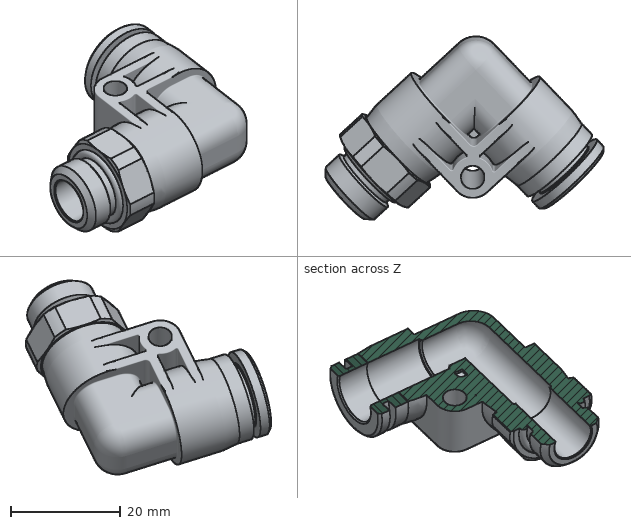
import cadquery as cq
import math


overall_x = 35.29
overall_y = 41.3

arm_radius = 8.6
arm_start = 8.12
arm_taper_start = 16.7
arm_end = 19.68
arm_end_radius = 8.2

core_half = 6.46
core_round = 4.57
joint_fillet = 0.2

hole_center = 12.0
hole_radius = 2.15
boss_radius = 3.87
plate_reach = hole_center + boss_radius
pocket_half = 2.0
pocket_corner_round = 0.3
plate_inner_round = 0.9
plate_edge_round = 0.17
rib_overrun = 2.0
web_thickness = 1.85

tube_bore_radius = 5.07
tube_stop = arm_start
stop_radius = 4.75
flow_radius = 4.43
stud_bore_radius = 4.05
stud_bore_chamfer = 0.2

hex_flats = 17.0
hex_turn = 30
hex_corner_radius = 9.16
hex_length = 6.1
hex_start = arm_end
hex_end = hex_start + hex_length
hex_chamfer_radius = hex_flats / 2
hex_chamfer_length = 0.25

ring_radius = 7.3
ring_height = 0.85
ring_end = hex_end + ring_height
neck_radius = 5.75
relief_start = 27.75
relief_end = 28.15
thread_radius = 6.55
thread_chamfer = 1.15
stud_end = overall_y - arm_radius

cartridge_end = overall_x - hex_corner_radius
cartridge_radius = arm_end_radius
collar_back = 23.8
collar_chamfer = 0.55
groove_radius = 6.03
groove_chamfer_rise = 0.12
groove_chamfer_length = 0.22
groove_end = 22.5
mouth_chamfer = 0.3


def turn_to_tube_side(shape):
    """Turn a shape from the -Y arm to the -X arm."""
    return shape.rotate((0, 0, 0), (0, 0, 1), -90)


def swap_x_and_y(shape):
    """Reflect a shape in the plane x = y."""
    return shape.mirror("XZ").rotate((0, 0, 0), (0, 0, 1), 90)


def revolve(profile):
    """Close a (radius, y) profile and revolve it about the Y axis."""
    return profile.close().revolve(360, (0, 0, 0), (0, 1, 0))


def make_arm():
    """Thick cylinder along -Y that narrows to its outer end in a smooth S-curve."""
    return revolve(
        cq.Workplane("XY")
        .moveTo(0, -arm_start)
        .lineTo(arm_radius, -arm_start)
        .lineTo(arm_radius, -arm_taper_start)
        .spline([(arm_end_radius, -arm_end)], tangents=[(0, -1), (0, -1)], includeCurrent=True)
        .lineTo(0, -arm_end)
    )


def make_stud_leg():
    """Square bar with rounded long edges and outer end, filleted where it runs into its thick arm."""
    width = 2 * core_half
    length = core_half + arm_taper_start
    bar = cq.Workplane("XY").box(width, length, width).translate((0, core_half - length / 2, 0))
    leg = bar.edges("|Y or >Y").fillet(core_round).union(make_arm())
    joint = cq.selectors.BoxSelector(
        (-core_half - joint_fillet, -arm_start - joint_fillet, -core_half - joint_fillet),
        (core_half + joint_fillet, -arm_start + joint_fillet, core_half + joint_fillet),
        boundingbox=True,
    )
    return leg.edges(joint).fillet(joint_fillet)


def plate_outline(reach):
    """L-shaped outline along both arms; its far corner is round about the mounting hole."""
    diagonal = hole_center + boss_radius * math.sqrt(0.5)
    return (
        cq.Workplane("XY")
        .moveTo(-plate_reach, reach)
        .lineTo(-plate_reach, -hole_center)
        .threePointArc((-diagonal, -diagonal), (-hole_center, -plate_reach))
        .lineTo(reach, -plate_reach)
        .lineTo(reach, -arm_start)
        .lineTo(-arm_start, -arm_start)
        .lineTo(-arm_start, reach)
        .close()
    )


def make_pocket():
    """Gap between the ribs over the tube arm; its closed end follows the boss around the hole."""
    pocket = (
        cq.Workplane("XY")
        .moveTo(-hole_center - pocket_half, 2 * rib_overrun)
        .lineTo(-hole_center - pocket_half, -hole_center)
        .lineTo(-hole_center + pocket_half, -hole_center)
        .lineTo(-hole_center + pocket_half, 2 * rib_overrun)
        .close()
        .extrude(arm_radius, both=True)
    )
    boss = cq.Workplane("XY").center(-hole_center, -hole_center).circle(boss_radius)
    pocket = pocket.cut(boss.extrude(arm_radius, both=True))
    return pocket.edges("|Z and (not >Y)").fillet(pocket_corner_round)


def make_plate():
    """Ribbed corner plate as deep as the arms, closed by a thin web halfway up."""
    plate = plate_outline(rib_overrun).extrude(arm_radius, both=True)
    inner_edge = cq.selectors.NearestToPointSelector((-arm_start, -arm_start, 0))
    plate = plate.edges(inner_edge).fillet(plate_inner_round)
    pocket = make_pocket()
    plate = plate.cut(pocket).cut(swap_x_and_y(pocket))
    plate = plate.faces("|Z").edges().fillet(plate_edge_round)
    trim = cq.Workplane("XY").box(plate_reach, plate_reach, 2 * arm_radius)
    plate = plate.intersect(trim.translate((-plate_reach / 2, -plate_reach / 2, 0)))
    web = plate_outline(0).extrude(web_thickness / 2, both=True)
    corner_web = cq.Workplane("XY").box(hole_center, hole_center, web_thickness)
    return plate.union(web).union(corner_web.translate((-hole_center / 2, -hole_center / 2, 0)))


def make_hexagon():
    """Hexagon with flats facing +Z and -Z, turned down at its corners and chamfered at both ends."""
    hexagon = (
        cq.Workplane("XZ", origin=(0, -hex_start, 0))
        .transformed(rotate=(0, 0, hex_turn))
        .polygon(6, hex_flats, circumscribed=True)
        .extrude(hex_length)
    )
    turned = revolve(
        cq.Workplane("XY")
        .moveTo(0, -hex_start)
        .lineTo(hex_chamfer_radius, -hex_start)
        .lineTo(hex_corner_radius, -hex_start - hex_chamfer_length)
        .lineTo(hex_corner_radius, -hex_end + hex_chamfer_length)
        .lineTo(hex_chamfer_radius, -hex_end)
        .lineTo(0, -hex_end)
    )
    return hexagon.intersect(turned)


def make_stud_end():
    """Sealing ring, neck and threaded end along -Y."""
    ring_crest = ((neck_radius + ring_radius) / 2, -ring_end)
    ring_base = -ring_end + (ring_radius - neck_radius) / 2
    ring = revolve(
        cq.Workplane("XY")
        .moveTo(0, -hex_end)
        .lineTo(ring_radius, -hex_end)
        .lineTo(ring_radius, ring_base)
        .threePointArc(ring_crest, (neck_radius, ring_base))
        .lineTo(0, ring_base)
    )
    thread = revolve(
        cq.Workplane("XY")
        .moveTo(0, -hex_end)
        .lineTo(neck_radius, -hex_end)
        .lineTo(neck_radius, -relief_start)
        .lineTo(thread_radius, -relief_end)
        .lineTo(thread_radius, -stud_end + thread_chamfer)
        .lineTo(thread_radius - thread_chamfer, -stud_end)
        .lineTo(0, -stud_end)
    )
    return ring.union(thread)


def make_tube_socket():
    """Tube seat and flow bore along -Y, with a bevelled edge at the tube stop."""
    bevel = stop_radius - flow_radius
    return revolve(
        cq.Workplane("XY")
        .moveTo(0, 0)
        .lineTo(flow_radius, 0)
        .lineTo(flow_radius, -tube_stop + bevel)
        .lineTo(stop_radius, -tube_stop)
        .lineTo(tube_bore_radius, -tube_stop)
        .lineTo(tube_bore_radius, -arm_end)
        .lineTo(0, -arm_end)
    )


def make_stud_bore():
    """Flow bore along -Y, narrower through the stud and chamfered at its mouth."""
    return revolve(
        cq.Workplane("XY")
        .moveTo(0, 0)
        .lineTo(flow_radius, 0)
        .lineTo(flow_radius, -hex_start)
        .lineTo(stud_bore_radius, -hex_start)
        .lineTo(stud_bore_radius, -stud_end + stud_bore_chamfer)
        .lineTo(stud_bore_radius + stud_bore_chamfer, -stud_end)
        .lineTo(0, -stud_end)
    )


def make_elbow():
    """Elbow body with its corner plate and threaded stud."""
    leg = make_stud_leg()
    elbow = leg.union(turn_to_tube_side(leg)).union(make_plate())
    elbow = elbow.union(make_hexagon()).union(make_stud_end())
    mounting_hole = cq.Workplane("XY").center(-hole_center, -hole_center).circle(hole_radius)
    elbow = elbow.cut(mounting_hole.extrude(arm_radius, both=True))
    bend = cq.Workplane("XY").sphere(flow_radius)
    return elbow.cut(turn_to_tube_side(make_tube_socket()).union(make_stud_bore()).union(bend))


def make_cartridge():
    """Tube cartridge: a band against the elbow, a groove, and a collar around the tube mouth."""
    profile = (
        cq.Workplane("XY")
        .moveTo(tube_bore_radius, -arm_end)
        .lineTo(cartridge_radius, -arm_end)
        .lineTo(cartridge_radius, -groove_end)
        .lineTo(groove_radius, -groove_end)
        .lineTo(groove_radius, -collar_back + groove_chamfer_length)
        .lineTo(groove_radius + groove_chamfer_rise, -collar_back)
        .lineTo(cartridge_radius, -collar_back)
        .lineTo(cartridge_radius, -cartridge_end + collar_chamfer)
        .lineTo(cartridge_radius - collar_chamfer, -cartridge_end)
        .lineTo(tube_bore_radius + mouth_chamfer, -cartridge_end)
        .lineTo(tube_bore_radius, -cartridge_end + mouth_chamfer)
    )
    return turn_to_tube_side(revolve(profile))


elbow = make_elbow()
cartridge = make_cartridge()
result = cq.Compound.makeCompound([elbow.val(), cartridge.val()])